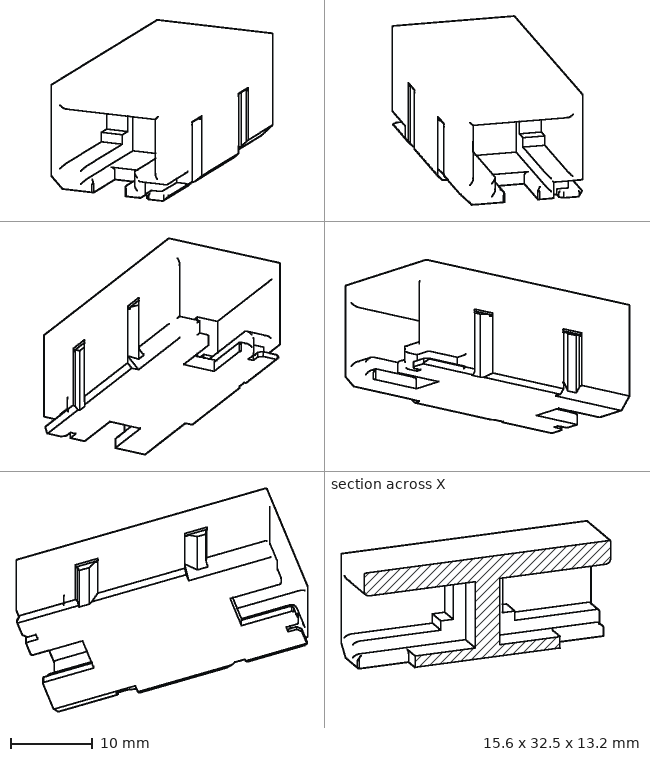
import cadquery as cq
import math

WIDTH = 15.55
LENGTH = 32.45
HEIGHT = 13.15
SIDE = WIDTH / 2
FRONT = -LENGTH / 2

EDGE_ROUND = 0.2
BOTTOM_CHAMFER = 0.6

MARGIN = 0.03

SOCKET_WIDTH = 11.9
SOCKET_TOP = 10.05
LEDGE_HEIGHT = 3.18
SOCKET_DEPTH = 13
LATCH_WIDTH = 6.35
LATCH_FLOOR = 1.53
LATCH_DEPTH = 14.6
FLARE_RADIUS = 0.7
STEP_HEIGHT = 4.38
STEP_LENGTH = 1.62

SLIT_WIDTH = 4.22
SLIT_LENGTH = 6.7
SLIT_ROUND = 0.5

CORNER_CHAMFER = 1.53
CORNER_CHAMFER_LENGTH = 10.6

RECESS_NEAR = 8.5
RECESS_FAR = 5.6
RECESS_RAMP_LENGTH = 1.35
RECESS_DEPTH = 0.8
RECESS_TOP = 8.0

NOTCH_LEFT = 4.12
NOTCH_TOP = 2.08
NOTCH_WALL = 6.35
NOTCH_FRONT_DEPTH = 1.6
NOTCH_LENGTH = 6.15
SHELF_LEFT = 4.85
SHELF_TOP = 0.7
SHELF_CORNER_CHAMFER = 0.5


def block(x_range, y_range, z_range):
    """Box given by its limits along each axis."""
    size = [high - low for low, high in (x_range, y_range, z_range)]
    corner = (x_range[0], y_range[0], z_range[0])
    return cq.Workplane("XY").box(*size, centered=False).translate(corner)


def edges_within(body, x_range, y_range, z_range):
    """Edges whose centres lie inside the given limits."""
    low, high = zip(x_range, y_range, z_range)
    return body.edges(cq.selectors.BoxSelector(low, high))


def half_block():
    """Front half of the housing with its bottom chamfers and the large corner chamfer on -X."""
    body = block((-SIDE, SIDE), (FRONT, 0), (0, HEIGHT))
    body = body.edges("|Y and <Z").chamfer(BOTTOM_CHAMFER)
    corner = (
        cq.Workplane("XZ", origin=(0, FRONT, 0))
        .polyline([(-SIDE, 0), (-SIDE + CORNER_CHAMFER, 0), (-SIDE, CORNER_CHAMFER)])
        .close()
        .extrude(-CORNER_CHAMFER_LENGTH)
    )
    return body.cut(corner)


def cut_notch(body):
    """Notch around the lower front corner on +X."""
    end = FRONT + NOTCH_LENGTH
    inner = FRONT + NOTCH_FRONT_DEPTH
    across = block((NOTCH_LEFT, SIDE), (FRONT, inner), (0, NOTCH_TOP))
    along = block((NOTCH_WALL, SIDE), (FRONT, end), (0, NOTCH_TOP))
    body = body.cut(across.union(along))
    inner_corner = edges_within(
        body,
        (NOTCH_WALL - MARGIN, NOTCH_WALL + MARGIN),
        (inner - MARGIN, inner + MARGIN),
        (0, NOTCH_TOP),
    )
    return inner_corner.fillet(EDGE_ROUND)


def round_outside(body):
    """Round the top and front edges and the notch rim."""
    notch_rim = edges_within(
        body,
        (SIDE - MARGIN, SIDE + MARGIN),
        (FRONT + MARGIN, FRONT + NOTCH_LENGTH + MARGIN),
        (BOTTOM_CHAMFER + MARGIN, NOTCH_TOP + MARGIN),
    )
    edges = body.edges("|Y and >Z").add(body.faces("<Y").edges()).add(notch_rim)
    return body.newObject(edges.vals()).fillet(EDGE_ROUND)


def cut_socket(body):
    """Cut the T-shaped plug socket and round its mouth outwards."""
    half_socket = SOCKET_WIDTH / 2
    half_latch = LATCH_WIDTH / 2
    socket_end = FRONT + SOCKET_DEPTH
    latch_end = FRONT + LATCH_DEPTH
    socket = block((-half_socket, half_socket), (FRONT, socket_end), (LEDGE_HEIGHT, SOCKET_TOP))
    latch = block((-half_latch, half_latch), (FRONT, latch_end), (LATCH_FLOOR, SOCKET_TOP))
    body = body.cut(socket.union(latch))
    mouth = edges_within(
        body,
        (-half_socket - MARGIN, half_socket + MARGIN),
        (FRONT - MARGIN, FRONT + MARGIN),
        (LATCH_FLOOR - MARGIN, SOCKET_TOP + MARGIN),
    )
    body = mouth.fillet(FLARE_RADIUS)
    step_range = (socket_end - STEP_LENGTH, socket_end)
    for x_range in ((-half_socket, -half_latch), (half_latch, half_socket)):
        body = body.union(block(x_range, step_range, (LEDGE_HEIGHT, STEP_HEIGHT)))
    return body


def cut_slit(body):
    """Cut the floor slit, rounded along its top edges and bevelled at its front corners."""
    half = SLIT_WIDTH / 2
    top_half = half + SLIT_ROUND
    round_start = LATCH_FLOOR - SLIT_ROUND
    diagonal = SLIT_ROUND * math.sqrt(0.5)
    slit = (
        cq.Workplane("XZ", origin=(0, FRONT, 0))
        .moveTo(-half, 0)
        .lineTo(half, 0)
        .lineTo(half, round_start)
        .threePointArc((top_half - diagonal, round_start + diagonal), (top_half, LATCH_FLOOR))
        .lineTo(-top_half, LATCH_FLOOR)
        .threePointArc((-top_half + diagonal, round_start + diagonal), (-half, round_start))
        .close()
        .extrude(-SLIT_LENGTH)
    )
    mouth_half = half + EDGE_ROUND
    mouth_end = FRONT + EDGE_ROUND
    corners = (
        cq.Workplane("XY")
        .polyline([(-mouth_half, FRONT), (mouth_half, FRONT), (half, mouth_end), (-half, mouth_end)])
        .close()
        .extrude(LATCH_FLOOR)
    )
    return body.cut(slit).cut(corners)


def ramp_recess(ramp_end, flat_end):
    """Cutter for a recess in the -X wall, deepening from ramp_end towards flat_end."""
    direction = math.copysign(1, flat_end - ramp_end)
    ramp_foot = ramp_end + direction * RECESS_RAMP_LENGTH
    flat_wall = flat_end - direction * EDGE_ROUND
    floor = -SIDE + RECESS_DEPTH
    return (
        cq.Workplane("XY")
        .polyline([
            (-SIDE, ramp_end),
            (floor, ramp_foot),
            (floor, flat_wall),
            (-SIDE + EDGE_ROUND, flat_wall),
            (-SIDE, flat_end),
        ])
        .close()
        .extrude(RECESS_TOP)
    )


def recess_rim(y_low, y_high):
    """Bevel cutter along the top of a recess in the -X wall."""
    inner = -SIDE + EDGE_ROUND
    bottom = RECESS_TOP - EDGE_ROUND
    return (
        cq.Workplane("XZ", origin=(0, y_low, 0))
        .polyline([(-SIDE, bottom), (inner, bottom), (inner, RECESS_TOP), (-SIDE, RECESS_TOP + EDGE_ROUND)])
        .close()
        .extrude(y_low - y_high)
    )


def cut_recesses(body):
    """One recess in each side wall; the flat of each lies towards the front end."""
    left = ramp_recess(-RECESS_FAR, -RECESS_NEAR).union(recess_rim(-RECESS_NEAR, -RECESS_FAR))
    right = ramp_recess(RECESS_FAR, RECESS_NEAR).union(recess_rim(RECESS_FAR, RECESS_NEAR))
    return body.cut(left).cut(right.rotate((0, 0, 0), (0, 0, 1), 180))


def add_shelf(body, envelope):
    """Shelf across the bottom of the notch, held inside the chamfered envelope."""
    shelf = block((SHELF_LEFT, SIDE), (FRONT, FRONT + NOTCH_LENGTH), (0, SHELF_TOP))
    shelf = shelf.edges("|Z and <Y").chamfer(SHELF_CORNER_CHAMFER)
    shelf = shelf.faces(">Z").edges("not >Y").fillet(EDGE_ROUND)
    return body.union(shelf.intersect(envelope))


envelope = half_block()
half = round_outside(cut_notch(envelope))
half = cut_recesses(cut_slit(cut_socket(half)))
half = add_shelf(half, envelope)
result = half.union(half.rotate((0, 0, 0), (0, 0, 1), 180)).clean()